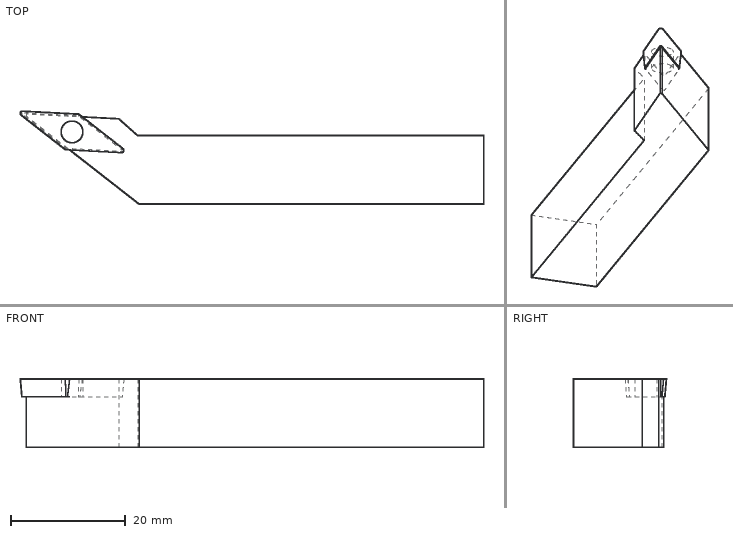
import cadquery as cq
import math


overall_length = 80.94
shank_size = 12.0

overall_width = 16.25
inscribed_diameter = 6.35
nose_angle = 35.0
nose_radius = 0.4
insert_thickness = 3.18
clearance_angle = 5.0
edge_angle = 3.0
screw_head_diameter = 3.8

half_diagonal = inscribed_diameter / 2 / math.sin(math.radians(nose_angle / 2))
half_width = inscribed_diameter / 2 / math.cos(math.radians(nose_angle / 2))
axis_angle = edge_angle + nose_angle / 2
nose_center_offset = half_diagonal - nose_radius / math.sin(math.radians(nose_angle / 2))
insert_x = nose_center_offset * math.cos(math.radians(axis_angle)) + nose_radius
insert_y = overall_width - nose_center_offset * math.sin(math.radians(axis_angle)) - nose_radius

head_tip_x = 1.05
head_tip_y = 15.77
flank_angle = edge_angle + nose_angle
flank_start_x = 20.75
shoulder_x = 17.2
shoulder_end_x = 20.5


def insert_blank():
    """Solid insert without its screw hole, narrowing downward by the clearance angle."""
    rhombus = [
        (-half_diagonal, 0),
        (0, -half_width),
        (half_diagonal, 0),
        (0, half_width),
    ]
    outline = cq.Sketch().polygon([*rhombus, rhombus[0]]).vertices("<X or >X").fillet(nose_radius)
    return (
        cq.Workplane("XY").placeSketch(outline)
        .extrude(-insert_thickness, taper=clearance_angle)
        .rotate((0, 0, 0), (0, 0, 1), -axis_angle)
        .translate((insert_x, insert_y, shank_size))
    )


def screw_head():
    """Screw that fills the insert hole flush with the top; it is one piece with the holder."""
    return (
        cq.Workplane("XY", origin=(insert_x, insert_y, shank_size - insert_thickness))
        .circle(screw_head_diameter / 2)
        .extrude(insert_thickness)
    )


def make_insert():
    """Insert with the hole that the screw fills."""
    return insert_blank().cut(screw_head())


def make_holder():
    """Shank with angled head; the insert sits in a matching pocket around the screw."""
    flank_end_y = (flank_start_x - head_tip_x) * math.tan(math.radians(flank_angle))
    shoulder_y = head_tip_y - (shoulder_x - head_tip_x) * math.tan(math.radians(edge_angle))
    outline = [
        (flank_start_x, 0),
        (overall_length, 0),
        (overall_length, shank_size),
        (shoulder_end_x, shank_size),
        (shoulder_x, shoulder_y),
        (head_tip_x, head_tip_y),
        (head_tip_x, flank_end_y),
    ]
    body = cq.Workplane("XY").polyline(outline).close().extrude(shank_size)
    return body.cut(make_insert())


holder = make_holder()
insert = make_insert()

result = cq.Compound.makeCompound([holder.val(), insert.val()])